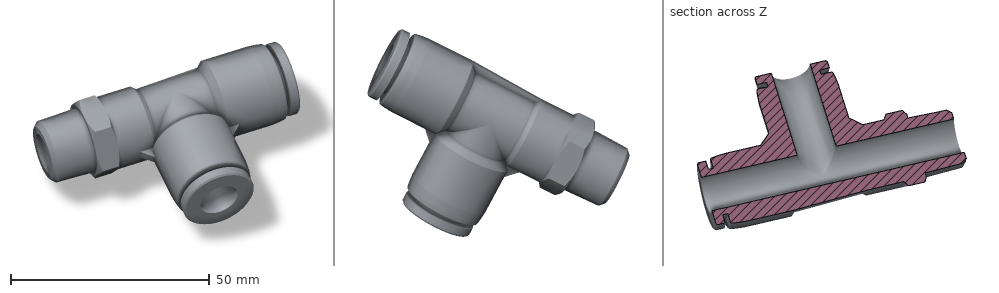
import cadquery as cq
import math

bore_radius = 5.0
core_radius = 8.45

port_end = 30.2
port_diameter = 20.8
port_radius = port_diameter / 2
port_start = 10.4
port_shoulder_start = port_start - (port_radius - core_radius)
port_taper_start = 22.7
port_band_start = 25.15
port_band_radius = 10.2
port_face = 26.55
port_face_edge_radius = 10.0
port_face_chamfer = 0.25
release_neck_radius = 7.0
release_flange_radius = 9.5
release_flange_start = 27.75
release_edge_length = 0.4
release_face_radius = 9.1

overall_length = 66.05
thread_end = port_end - overall_length
body_radius = 9.5
body_shoulder_start = -8.2
body_start = -9.45
hex_start = -18.75
hex_end = -24.8
hex_flats = 2 * body_radius
hex_corner_radius = hex_flats / math.sqrt(3)
hex_bevel_angle = 30
thread_root_radius = 8.45
thread_tip_radius = 8.1
thread_chamfer = 1.1

web_thickness = 2.25
web_leg = 2.85


def revolve_about_y(points):
    """Revolve a closed (radius, y) outline about the Y axis."""
    return cq.Workplane("XY").polyline(points).close().revolve(360, (0, 0, 0), (0, 1, 0))


def make_port():
    """Core and push-in port along +Y, starting at the origin."""
    return revolve_about_y([
        (0, 0),
        (core_radius, 0),
        (core_radius, port_shoulder_start),
        (port_radius, port_start),
        (port_radius, port_taper_start),
        (port_band_radius, port_band_start),
        (port_face_edge_radius, port_face - port_face_chamfer),
        (port_face_edge_radius - port_face_chamfer, port_face),
        (release_neck_radius, port_face),
        (release_neck_radius, release_flange_start),
        (release_flange_radius, release_flange_start),
        (release_flange_radius, port_end - release_edge_length),
        (release_face_radius, port_end),
        (0, port_end),
    ])


def make_threaded_end():
    """Core, body and tapered thread along -Y."""
    return revolve_about_y([
        (0, 0),
        (core_radius, 0),
        (core_radius, body_shoulder_start),
        (body_radius, body_start),
        (body_radius, hex_end),
        (thread_root_radius, hex_end),
        (thread_tip_radius, thread_end + thread_chamfer),
        (thread_tip_radius - thread_chamfer, thread_end),
        (0, thread_end),
    ])


def make_hex():
    """Hexagon with corners on X and both faces bevelled by a cone."""
    prism = (
        cq.Workplane("XZ", origin=(0, hex_start, 0))
        .polygon(6, 2 * hex_corner_radius)
        .extrude(hex_start - hex_end)
    )
    bevel_drop = (hex_corner_radius - body_radius) * math.tan(math.radians(hex_bevel_angle))
    envelope = revolve_about_y([
        (0, hex_start),
        (body_radius, hex_start),
        (hex_corner_radius, hex_start - bevel_drop),
        (hex_corner_radius, hex_end + bevel_drop),
        (body_radius, hex_end),
        (0, hex_end),
    ])
    return prism.intersect(envelope)


def make_webs():
    """Web behind the core, and 45 degree gussets in the two corners beside the branch."""
    outline = [
        (0, port_start + web_leg),
        (port_radius, port_start + web_leg),
        (port_radius + web_leg, port_start),
        (port_radius + web_leg, 0),
        (body_radius + web_leg, -port_start),
        (body_radius, -port_start - web_leg),
        (0, -port_start - web_leg),
        (0, body_start),
        (-body_radius, body_start),
        (-port_radius, port_start),
        (0, port_start),
    ]
    return cq.Workplane("XY").polyline(outline).close().extrude(web_thickness / 2, both=True)


def make_branch(shape):
    """Turn a shape built along +Y to lie along +X."""
    return shape.rotate((0, 0, 0), (0, 0, 1), -90)


main_bore = (
    cq.Workplane("XZ", origin=(0, port_end, 0)).circle(bore_radius).extrude(overall_length)
)
branch_bore = cq.Workplane("YZ").circle(bore_radius).extrude(port_end)

port = make_port()
result = (
    port.union(make_branch(port))
    .union(make_threaded_end())
    .union(make_hex())
    .union(make_webs())
    .cut(main_bore)
    .cut(branch_bore)
)